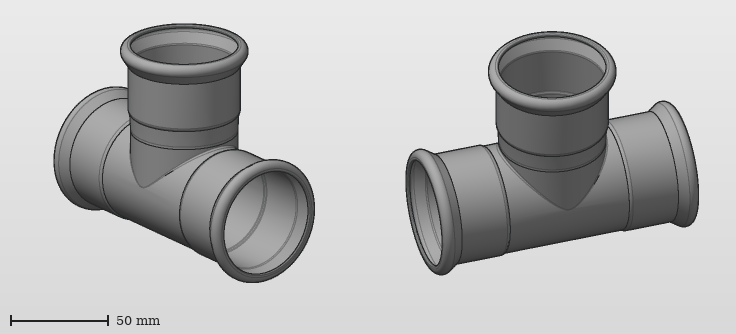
import cadquery as cq
import math


run_length = 138.0
branch_reach = 76.7

socket_outer_radius = 57.5 / 2
socket_inner_radius = 54.4 / 2
socket_wall = socket_outer_radius - socket_inner_radius
bead_outer_radius = 65.4 / 2
bead_round = 3.6
lip_bore_radius = 55.0 / 2
lip_round = 0.48
flare_depth = 10.6
straight_end_depth = 35.0
step_length = 1.8
stop_slope = math.radians(30)
socket_depth = straight_end_depth + step_length

run_outer_radius = 56.0 / 2
run_bore_radius = 53.0 / 2

neck_outer_radius = 55.0 / 2
neck_bore_radius = 52.0 / 2
neck_fillet = 1.0
neck_top = 29.8
joint_lead = 1.4


def polar(center, radius, angle):
    """Point at a radius from a center; the angle turns from outward towards deeper."""
    return (center[0] + radius * math.cos(angle), center[1] + radius * math.sin(angle))


def socket_profile(tail_outer, tail_inner):
    """Half section of a socket as (radius, depth from the mouth).

    The tails list the outer and inner points that follow the shoulder, shallowest first.
    """
    bead_center = (bead_outer_radius - bead_round, bead_round)
    flare_end = (socket_outer_radius, flare_depth)
    offset_r = bead_center[0] - flare_end[0]
    offset_d = flare_end[1] - bead_center[1]
    flare_angle = math.asin(bead_round / math.hypot(offset_r, offset_d)) + math.atan(offset_r / offset_d)
    bead_middle = (flare_angle - math.pi / 2) / 2
    bead_inner_round = bead_round - socket_wall

    outer_drop = socket_outer_radius - run_outer_radius
    shoulder_round = (step_length**2 + outer_drop**2) / (2 * outer_drop)
    shoulder_center = (socket_outer_radius - shoulder_round, straight_end_depth)
    outer_turn = math.asin(step_length / shoulder_round)

    inner_drop = socket_inner_radius - run_bore_radius
    stop_round = (step_length * math.sin(stop_slope) - inner_drop * math.cos(stop_slope)) / (
        2 * (1 - math.cos(stop_slope))
    )
    stop_start_center = (socket_inner_radius - stop_round, straight_end_depth)
    stop_end_center = (run_bore_radius + stop_round, socket_depth)

    lip_edge_radius = lip_bore_radius + lip_round
    lip_front_center = (lip_edge_radius, lip_round)
    lip_back_center = (lip_edge_radius, socket_wall - lip_round)
    eighth_turn = math.pi / 4

    profile = (
        cq.Workplane("XY")
        .moveTo(lip_edge_radius, 0)
        .lineTo(bead_center[0], 0)
        .threePointArc(polar(bead_center, bead_round, bead_middle), polar(bead_center, bead_round, flare_angle))
        .lineTo(*flare_end)
        .lineTo(socket_outer_radius, straight_end_depth)
        .threePointArc(
            polar(shoulder_center, shoulder_round, outer_turn / 2),
            polar(shoulder_center, shoulder_round, outer_turn),
        )
    )
    for point in tail_outer + tail_inner[::-1]:
        profile = profile.lineTo(*point)
    return (
        profile
        .threePointArc(
            polar(stop_end_center, -stop_round, stop_slope / 2),
            polar(stop_end_center, -stop_round, stop_slope),
        )
        .lineTo(*polar(stop_start_center, stop_round, stop_slope))
        .threePointArc(
            polar(stop_start_center, stop_round, stop_slope / 2),
            (socket_inner_radius, straight_end_depth),
        )
        .lineTo(socket_inner_radius, flare_depth)
        .threePointArc(
            polar(flare_end, -socket_wall, flare_angle / 2),
            polar(flare_end, -socket_wall, flare_angle),
        )
        .lineTo(*polar(bead_center, bead_inner_round, flare_angle))
        .threePointArc(
            polar(bead_center, bead_inner_round, bead_middle),
            (bead_center[0], socket_wall),
        )
        .lineTo(lip_edge_radius, socket_wall)
        .threePointArc(polar(lip_back_center, -lip_round, -eighth_turn), (lip_bore_radius, lip_back_center[1]))
        .lineTo(lip_bore_radius, lip_round)
        .threePointArc(polar(lip_front_center, -lip_round, eighth_turn), (lip_edge_radius, 0))
        .close()
    )


def make_socket(mouth_distance, tail_outer, tail_inner):
    """Socket around +Z with its mouth facing up at the given height."""
    revolved = socket_profile(tail_outer, tail_inner).revolve(360, (0, 0, 0), (0, 1, 0))
    return revolved.rotate((0, 0, 0), (1, 0, 0), -90).translate((0, 0, mouth_distance))


def make_run():
    """Run tube with its branch neck and two end sockets, as one body."""
    tube_length = run_length - 2 * socket_depth
    tube = cq.Workplane("YZ", origin=(-tube_length / 2, 0, 0)).circle(run_outer_radius).extrude(tube_length)
    neck = cq.Workplane("XY").circle(neck_outer_radius).extrude(neck_top)
    tee = tube.union(neck)
    tee = tee.edges("%BSPLINE").fillet(neck_fillet)
    run_bore = cq.Workplane("YZ", origin=(-run_length / 2, 0, 0)).circle(run_bore_radius).extrude(run_length)
    neck_bore = cq.Workplane("XY").circle(neck_bore_radius).extrude(branch_reach)
    tee = tee.cut(run_bore).cut(neck_bore)

    end_inner = [(run_bore_radius, socket_depth)]
    socket = make_socket(run_length / 2, [], end_inner)
    for turn in (-90, 90):
        tee = tee.union(socket.rotate((0, 0, 0), (0, 1, 0), turn))
    return tee


def make_branch_socket():
    """Socket with a taper and a short straight end that butts on the neck."""
    end_depth = branch_reach - neck_top
    taper_end = end_depth - joint_lead
    tail_outer = [(neck_outer_radius, taper_end), (neck_outer_radius, end_depth)]
    tail_inner = [
        (run_bore_radius, socket_depth),
        (neck_bore_radius, taper_end),
        (neck_bore_radius, end_depth),
    ]
    return make_socket(branch_reach, tail_outer, tail_inner)


run = make_run()
branch_socket = make_branch_socket()

result = cq.Compound.makeCompound([run.val(), branch_socket.val()])